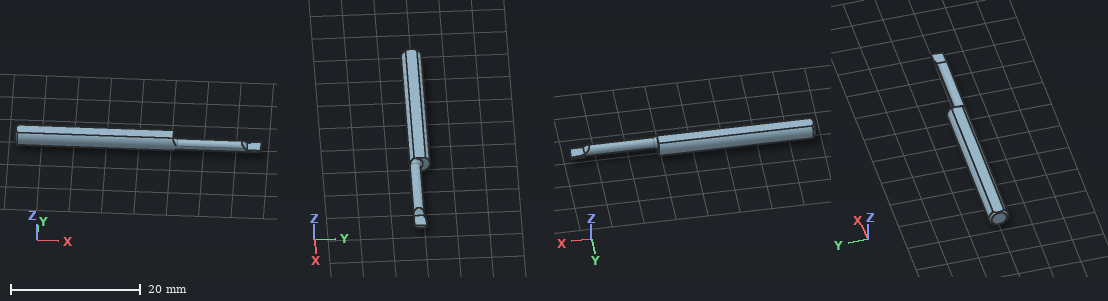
import cadquery as cq

overall_length = 38.1
shank_radius = 1.58
shank_length = 24.42
flat_height = 1.315
rear_chamfer = 0.4

neck_radius = 0.857
neck_center_y = -0.75
neck_top_y = neck_center_y + neck_radius
flare_length = 0.6
flare_rise = 0.4

head_start = 35.85
rake_slope_run = neck_radius
step_start = 36.2
step_end = 36.4
step_top_y = 0.285
cutting_edge_y = 0.4
end_skew = 0.15
end_relief = 0.23
cut_size = 4 * shank_radius


def make_shank():
    shank = cq.Workplane("YZ").circle(shank_radius).extrude(shank_length)
    shank = shank.faces("<X").chamfer(rear_chamfer)
    above_flat = (
        cq.Workplane("XY", origin=(0, 0, flat_height))
        .rect(2 * shank_length, cut_size)
        .extrude(shank_radius)
    )
    return shank.cut(above_flat)


def make_neck():
    """Revolved neck whose concave flare runs tangent into the straight part."""
    flare_end = shank_length + flare_length
    return (
        cq.Workplane("XY")
        .moveTo(overall_length, neck_center_y)
        .lineTo(overall_length, neck_top_y)
        .lineTo(flare_end, neck_top_y)
        .tangentArcPoint((shank_length, neck_top_y + flare_rise), relative=False)
        .lineTo(shank_length, neck_center_y)
        .close()
        .revolve(360, (0, neck_center_y, 0), (1, neck_center_y, 0))
    )


def make_head():
    """Round-bottomed head reaching past the neck to the cutting corner."""
    center_y = cutting_edge_y - neck_radius
    body = (
        cq.Workplane("YZ", origin=(head_start, center_y, 0))
        .circle(neck_radius)
        .extrude(overall_length - head_start)
    )
    outline = [
        (head_start, neck_top_y),
        (step_start, neck_top_y),
        (step_end, step_top_y),
        (overall_length, cutting_edge_y),
        (overall_length, -shank_radius),
        (head_start, -shank_radius),
    ]
    plan = cq.Workplane("XY").polyline(outline).close().extrude(-shank_radius)
    return body.intersect(plan)


def make_rake_cut():
    """Space above the rake face and its sloped run-out."""
    return (
        cq.Workplane("XZ", origin=(0, cut_size / 2, 0))
        .moveTo(head_start, 0)
        .lineTo(overall_length, 0)
        .lineTo(overall_length, neck_radius)
        .lineTo(head_start - rake_slope_run, neck_radius)
        .close()
        .extrude(cut_size)
    )


def make_end_cut():
    """Space ahead of the end face, which slants back from the cutting corner."""
    def end_profile(y, x_at_edge):
        return cq.Wire.makePolygon(
            [
                cq.Vector(x_at_edge, y, 0),
                cq.Vector(x_at_edge - end_relief, y, -neck_radius),
                cq.Vector(x_at_edge - end_relief, y, -shank_radius),
                cq.Vector(overall_length + end_relief, y, -shank_radius),
                cq.Vector(overall_length + end_relief, y, 0),
            ],
            close=True,
        )

    corner = end_profile(cutting_edge_y, overall_length)
    far_side = end_profile(-shank_radius, overall_length - end_skew)
    return cq.Workplane(obj=cq.Solid.makeLoft([corner, far_side], True))


shank_envelope = cq.Workplane("YZ").circle(shank_radius).extrude(overall_length)
blade = make_neck().union(make_head()).intersect(shank_envelope)
blade = blade.cut(make_rake_cut()).cut(make_end_cut())
result = make_shank().union(blade)